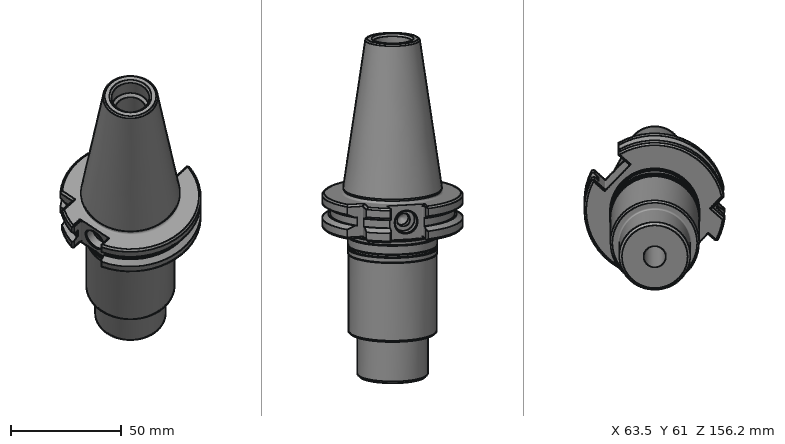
import math

import cadquery as cq


gauge_diameter = 44.45
taper_height = 68.25
taper_ratio = 7 / 24
taper_tip_chamfer = 0.7
gauge_overrun = 1.0
relief_diameter = 43.4
relief_slope_height = 1.0

flange_diameter = 63.55
flange_top_z = -3.2
flange_bottom_z = -19.1
flange_chamfer = 0.9
groove_diameter = 56.25
groove_middle_z = -11.1
groove_floor_width = 3.75
groove_mouth_width = 7.0
groove_flank_angle = 30.0

slot_width = 16.1
slot_corner_radius = 0.5
slot_rim_chamfer = 0.8
slot_face_chamfer = 0.6
front_slot_depth_y = 25.0
back_slot_depth_y = 22.8
notch_offset = 18.6
notch_corner_radius = 0.5
notch_chamfer = 1.0
notch_chamfer_angle = 45.0

chip_diameter = 10.11
chip_depth = 4.6
chip_lip_chamfer = 0.35
chip_drill_diameter = 6.0
chip_drill_depth = 3.5
drill_point_angle = 118.0

body_diameter = 40.0
band_diameter = 40.5
band_bevel = 0.45
bands = [(-19.9, -21.3), (-22.7, -27.4), (-28.3, -31.2)]
body_bottom_z = -67.9
body_chamfer = 0.9
nose_diameter = 32.0
nose_fillet = 0.8
nose_chamfer = 1.2
nose_bottom_z = -88.0

bore_mouth_diameter = 19.0
counterbore_diameter = 17.0
counterbore_depth = 8.2
thread_core_diameter = 13.84
thread_depth = 32.0
thread_lead_angle = 110.0
through_diameter = 10.0


def cone_height(large_diameter, small_diameter, included_angle):
    """Axial height of a cone frustum between two diameters."""
    return (large_diameter - small_diameter) / 2 / math.tan(math.radians(included_angle / 2))


def make_outer_body():
    gauge_radius = gauge_diameter / 2
    tip_radius = gauge_radius - taper_height * taper_ratio / 2
    tip_edge_radius = tip_radius + taper_tip_chamfer * taper_ratio / 2
    cone_end_radius = gauge_radius + gauge_overrun * taper_ratio / 2
    relief_radius = relief_diameter / 2
    relief_floor_z = -gauge_overrun - relief_slope_height
    relief_fillet = relief_floor_z - flange_top_z
    flange_radius = flange_diameter / 2
    groove_radius = groove_diameter / 2
    groove_half_floor = groove_floor_width / 2
    groove_half_mouth = groove_mouth_width / 2
    flank_depth = (groove_half_mouth - groove_half_floor) / math.tan(math.radians(groove_flank_angle))
    flank_end_radius = flange_radius - flank_depth
    body_radius = body_diameter / 2
    band_radius = band_diameter / 2
    nose_radius = nose_diameter / 2
    fillet_middle = nose_fillet * (1 - math.sqrt(0.5))

    profile = (
        cq.Workplane("XZ")
        .moveTo(0, taper_height)
        .lineTo(tip_radius - taper_tip_chamfer, taper_height)
        .lineTo(tip_edge_radius, taper_height - taper_tip_chamfer)
        .lineTo(cone_end_radius, -gauge_overrun)
        .lineTo(relief_radius, relief_floor_z)
        .radiusArc((relief_radius + relief_fillet, flange_top_z), -relief_fillet)
        .lineTo(flange_radius - flange_chamfer, flange_top_z)
        .lineTo(flange_radius, flange_top_z - flange_chamfer)
        .lineTo(flange_radius, groove_middle_z + groove_half_mouth)
        .lineTo(flank_end_radius, groove_middle_z + groove_half_floor)
        .lineTo(groove_radius, groove_middle_z + groove_half_floor)
        .lineTo(groove_radius, groove_middle_z - groove_half_floor)
        .lineTo(flank_end_radius, groove_middle_z - groove_half_floor)
        .lineTo(flange_radius, groove_middle_z - groove_half_mouth)
        .lineTo(flange_radius, flange_bottom_z + flange_chamfer)
        .lineTo(flange_radius - flange_chamfer, flange_bottom_z)
        .lineTo(body_radius, flange_bottom_z)
    )
    for band_top_z, band_bottom_z in bands:
        profile = (
            profile.lineTo(body_radius, band_top_z)
            .lineTo(band_radius, band_top_z - band_bevel)
            .lineTo(band_radius, band_bottom_z + band_bevel)
            .lineTo(body_radius, band_bottom_z)
        )
    return (
        profile.lineTo(body_radius, body_bottom_z + body_chamfer)
        .lineTo(body_radius - body_chamfer, body_bottom_z)
        .lineTo(nose_radius + nose_fillet, body_bottom_z)
        .threePointArc(
            (nose_radius + fillet_middle, body_bottom_z - fillet_middle),
            (nose_radius, body_bottom_z - nose_fillet),
        )
        .lineTo(nose_radius, nose_bottom_z + nose_chamfer)
        .lineTo(nose_radius - nose_chamfer, nose_bottom_z)
        .lineTo(0, nose_bottom_z)
        .close()
        .revolve(360, (0, 0, 0), (0, 1, 0))
    )


def make_bore():
    """Stepped bore, widest at the taper tip."""
    mouth_radius = bore_mouth_diameter / 2
    counterbore_radius = counterbore_diameter / 2
    core_radius = thread_core_diameter / 2
    through_radius = through_diameter / 2
    mouth_end_z = taper_height - (mouth_radius - counterbore_radius)
    counterbore_end_z = taper_height - counterbore_depth
    lead_height = cone_height(counterbore_diameter, thread_core_diameter, thread_lead_angle)
    thread_end_z = taper_height - thread_depth
    point_height = cone_height(thread_core_diameter, through_diameter, drill_point_angle)
    return (
        cq.Workplane("XZ")
        .moveTo(0, taper_height)
        .lineTo(mouth_radius, taper_height)
        .lineTo(counterbore_radius, mouth_end_z)
        .lineTo(counterbore_radius, counterbore_end_z)
        .lineTo(core_radius, counterbore_end_z - lead_height)
        .lineTo(core_radius, thread_end_z)
        .lineTo(through_radius, thread_end_z - point_height)
        .lineTo(through_radius, nose_bottom_z)
        .lineTo(0, nose_bottom_z)
        .close()
        .revolve(360, (0, 0, 0), (0, 1, 0))
    )


def make_slot(floor_y, side):
    """Drive slot with rounded floor corners; side is -1 for the front and 1 for the back."""
    flange_height = flange_top_z - flange_bottom_z
    half_width = slot_width / 2
    outer_y = flange_diameter / 2 + flange_chamfer
    slot_length = outer_y - floor_y
    flared_half = half_width + slot_face_chamfer
    slot = (
        cq.Workplane("XZ", origin=(0, side * floor_y, 0))
        .moveTo(-flared_half, flange_top_z)
        .lineTo(flared_half, flange_top_z)
        .lineTo(half_width, flange_top_z - slot_face_chamfer)
        .lineTo(half_width, flange_bottom_z + slot_face_chamfer)
        .lineTo(flared_half, flange_bottom_z)
        .lineTo(-flared_half, flange_bottom_z)
        .lineTo(-half_width, flange_bottom_z + slot_face_chamfer)
        .lineTo(-half_width, flange_top_z - slot_face_chamfer)
        .close()
        .extrude(-side * slot_length)
        .edges("|Z and " + ("<Y" if side > 0 else ">Y"))
        .fillet(slot_corner_radius)
    )
    rim_y = math.sqrt((flange_diameter / 2) ** 2 - (half_width + slot_rim_chamfer) ** 2)
    wedge_length = outer_y - rim_y
    wide_half = half_width + slot_rim_chamfer + wedge_length
    wedge = (
        cq.Workplane("XY", origin=(0, 0, flange_bottom_z))
        .moveTo(-half_width, side * (rim_y - slot_rim_chamfer))
        .lineTo(half_width, side * (rim_y - slot_rim_chamfer))
        .lineTo(wide_half, side * outer_y)
        .lineTo(-wide_half, side * outer_y)
        .close()
        .extrude(flange_height)
    )
    return slot.union(wedge)


def make_notch():
    """Orientation notch at the -X, -Y corner, widened by chamfers at both flange faces."""
    flange_height = flange_top_z - flange_bottom_z
    reach = flange_diameter / 2 - notch_offset
    notch = (
        cq.Workplane("XY", origin=(-notch_offset, -notch_offset, flange_bottom_z))
        .rect(-reach, -reach, centered=False)
        .extrude(flange_height)
        .edges("|Z and >X and >Y")
        .fillet(notch_corner_radius)
    )
    corner = notch_chamfer - notch_offset
    flare_size = 2 * (reach + notch_chamfer)
    for face_z, direction in ((flange_top_z, -1), (flange_bottom_z, 1)):
        flare = (
            cq.Workplane("XY", origin=(corner, corner, face_z))
            .rect(-flare_size, -flare_size, centered=False)
            .extrude(direction * notch_chamfer, taper=notch_chamfer_angle)
        )
        notch = notch.union(flare)
    return notch


def make_chip_pocket():
    """Flat-bottomed pocket with a pointed pilot hole, entered from the front slot floor."""
    pocket_radius = chip_diameter / 2
    drill_radius = chip_drill_diameter / 2
    drill_end = chip_depth + chip_drill_depth
    point_height = cone_height(chip_drill_diameter, 0, drill_point_angle)
    return (
        cq.Workplane("XY", origin=(0, -front_slot_depth_y, groove_middle_z))
        .lineTo(pocket_radius + chip_lip_chamfer, 0)
        .lineTo(pocket_radius, chip_lip_chamfer)
        .lineTo(pocket_radius, chip_depth)
        .lineTo(drill_radius, chip_depth)
        .lineTo(drill_radius, drill_end)
        .lineTo(0, drill_end + point_height)
        .close()
        .revolve(360, (0, 0, 0), (0, 1, 0))
    )


result = (
    make_outer_body()
    .cut(make_bore())
    .cut(make_slot(front_slot_depth_y, -1))
    .cut(make_slot(back_slot_depth_y, 1))
    .cut(make_notch())
    .cut(make_chip_pocket())
)